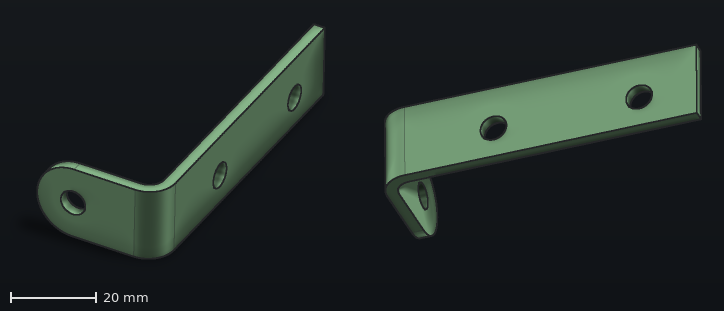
import cadquery as cq

thickness = 3.0
strip_width = 19.2
inner_bend_radius = 4.0
tab_reach = 23.3
leg_length = 80.15
hole_diameter = 6.5
leg_hole_setbacks = (14.4, 50.9)
leg_hole_drop = 1.7
tilt_angle = 1.2

half_width = strip_width / 2
outer_bend_radius = inner_bend_radius + thickness
hole_radius = hole_diameter / 2


def make_bent_strip():
    """L-shaped strip: tab along X, bend, then long leg along +Y."""
    inner_face = tab_reach - thickness
    outline = (
        cq.Workplane("XY", origin=(0, 0, -half_width))
        .moveTo(0, 0)
        .lineTo(tab_reach - outer_bend_radius, 0)
        .radiusArc((tab_reach, outer_bend_radius), -outer_bend_radius)
        .lineTo(tab_reach, leg_length)
        .lineTo(inner_face, leg_length)
        .lineTo(inner_face, outer_bend_radius)
        .radiusArc((inner_face - inner_bend_radius, thickness), inner_bend_radius)
        .lineTo(0, thickness)
        .close()
    )
    return outline.extrude(strip_width)


def make_y_cylinder(radius):
    """Cylinder through the tab thickness, centred on the tab hole."""
    return cq.Workplane("XZ").circle(radius).extrude(-thickness)


def make_leg_holes():
    """Cutters through the long leg, along X."""
    centres = [(leg_length - setback, -leg_hole_drop) for setback in leg_hole_setbacks]
    plane = cq.Workplane("YZ", origin=(tab_reach - thickness, 0, 0))
    return plane.pushPoints(centres).circle(hole_radius).extrude(thickness)


bracket = make_bent_strip().union(make_y_cylinder(half_width))
bracket = bracket.cut(make_y_cylinder(hole_radius)).cut(make_leg_holes())

result = bracket.rotate((0, 0, 0), (0, 1, 0), tilt_angle)